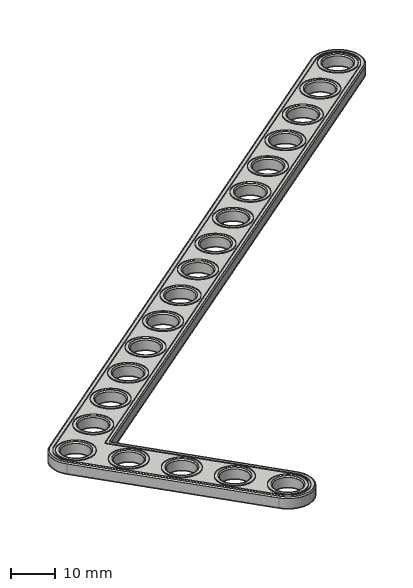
import cadquery as cq

length = 200.0
long_arm_holes = 16
short_arm_holes = 5
pitch = length / long_arm_holes
thickness = pitch / 4

hole_diameter = 7.0
edge_chamfer = 0.3
collar_diameter = 9.2
rim_width = (collar_diameter - hole_diameter) / 2
recess_depth = 0.2


def arm(hole_count, width, height):
    """Round-ended bar along +X with its first hole centre at the origin."""
    span = (hole_count - 1) * pitch
    return cq.Workplane("XY").center(span / 2, 0).slot2D(span + width, width).extrude(height)


def l_shape(width, height):
    """Short arm along +X and long arm along +Y, joined at the corner hole."""
    short_arm = arm(short_arm_holes, width, height)
    long_arm = arm(long_arm_holes, width, height).rotate((0, 0, 0), (0, 0, 1), 90)
    return short_arm.union(long_arm).clean()


def cylinders(diameter, height):
    """One cylinder at every hole; the arms share the corner hole."""
    centers = [(i * pitch, 0) for i in range(short_arm_holes)]
    centers += [(0, i * pitch) for i in range(1, long_arm_holes)]
    return cq.Workplane("XY").pushPoints(centers).circle(diameter / 2).extrude(height)


plate = l_shape(pitch, thickness).cut(cylinders(hole_diameter, thickness))
plate = plate.faces("<Z or >Z").chamfer(edge_chamfer)

recess = l_shape(pitch - 2 * rim_width, recess_depth)
recess = recess.cut(cylinders(collar_diameter, recess_depth))
result = plate.cut(recess.translate((0, 0, thickness - recess_depth)))